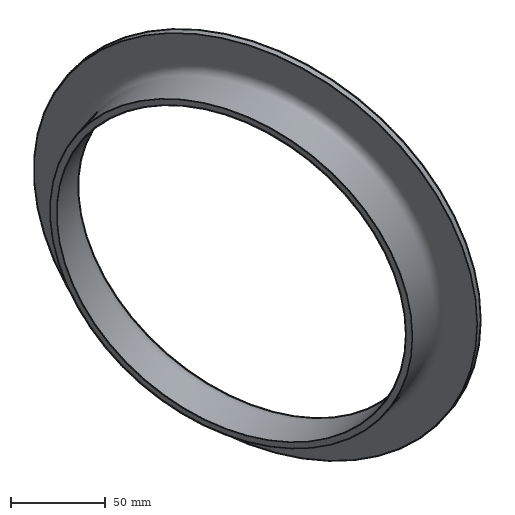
import cadquery as cq

flange_diameter = 268.0
tube_diameter = 219.0
sheet_thickness = 4.0
total_length = 30.0
bend_inner_radius = 5.0

bend_outer_radius = bend_inner_radius + sheet_thickness

flange_radius = flange_diameter / 2
tube_radius = tube_diameter / 2
bore_radius = tube_radius - sheet_thickness
flange_front = total_length - sheet_thickness

half_section = (
    cq.Workplane("XY")
    .moveTo(bore_radius, 0)
    .lineTo(tube_radius, 0)
    .lineTo(tube_radius, flange_front - bend_inner_radius)
    .radiusArc((tube_radius + bend_inner_radius, flange_front), bend_inner_radius)
    .lineTo(flange_radius, flange_front)
    .lineTo(flange_radius, total_length)
    .lineTo(bore_radius + bend_outer_radius, total_length)
    .radiusArc((bore_radius, total_length - bend_outer_radius), -bend_outer_radius)
    .close()
)

result = half_section.revolve(360, (0, 0, 0), (0, 1, 0))